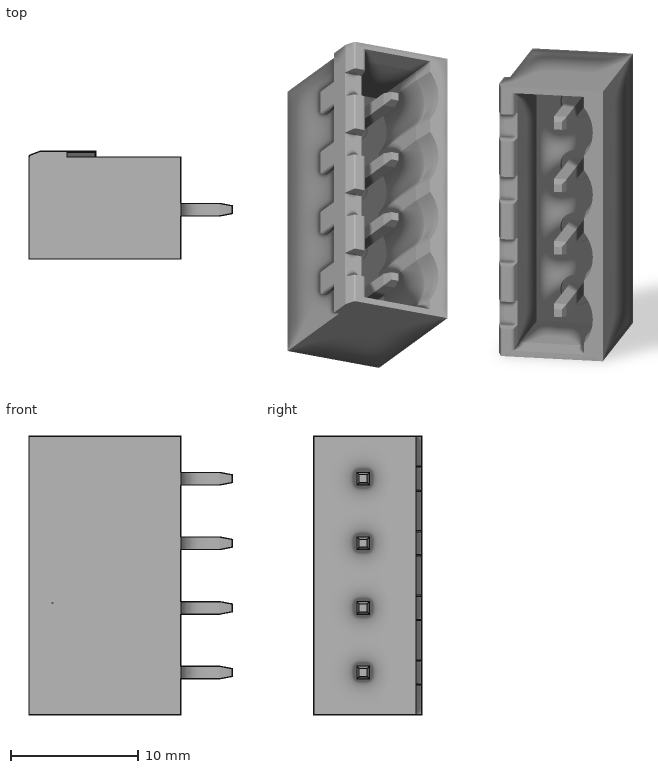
import cadquery as cq
import math

pin_count = 4
pitch = 5.08
end_margin = 3.34
housing_depth = 11.95
housing_width = 8.05
overall_width = 8.5
overall_length = 16.0
housing_height = (pin_count - 1) * pitch + 2 * end_margin

ridge_depth = 2.97
ridge_lead_depth = 0.9
ridge_lead_drop = 0.34
rim_round = 0.17
nub_end = 5.28
nub_chamfer = 0.1
notch_height = 2.0
notch_depth = 1.05
notch_draft = 0.1

pocket_depth = 8.6
flare_depth = 2.0
pocket_inset = 0.67
opening_inset = 0.48
pocket_top = 7.04
lip_corner = 7.18
lip_round = 0.3
pocket_bottom = 1.75
opening_bottom = 1.52
pocket_scallop_radius = 2.87
opening_scallop_radius = 3.09
recess_diameter = 2.5
recess_depth = 0.5

pin_y = 3.89
pin_size = 1.0
pin_tip_size = 0.62
pin_taper = 1.0
pin_start = 1.45

pin_heights = [end_margin + i * pitch for i in range(pin_count)]


def box(x0, x1, y0, y1, z0, z1):
    return cq.Workplane("XY").box(x1 - x0, y1 - y0, z1 - z0, centered=False).translate((x0, y0, z0))


def make_housing():
    body = box(0, housing_depth, 0, housing_width, 0, housing_height)
    ridge = (
        cq.Workplane("XY")
        .moveTo(0, 0)
        .lineTo(0, overall_width - ridge_lead_drop)
        .lineTo(ridge_lead_depth, overall_width)
        .lineTo(ridge_depth, overall_width)
        .lineTo(ridge_depth, 0)
        .close()
        .extrude(housing_height)
    )
    corner = cq.selectors.NearestToPointSelector((0, overall_width - ridge_lead_drop, housing_height / 2))
    return body.union(ridge.edges(corner).fillet(rim_round))


def make_nub(z):
    half = notch_height / 2
    nub = box(ridge_depth, nub_end, pocket_top, overall_width, z - half, z + half)
    return nub.edges("(|X and >Y) or (|Y and >X)").chamfer(nub_chamfer)


def pocket_outline(plane, inset, bottom, radius):
    """Pocket section: flat on the +Y side, one scallop around each pin on the -Y side."""
    half_chord = math.sqrt(radius**2 - (pin_y - bottom) ** 2)
    outline = plane.moveTo(pocket_top, inset).lineTo(bottom, inset)
    for z in pin_heights:
        outline = (
            outline.lineTo(bottom, z - half_chord)
            .threePointArc((pin_y - radius, z), (bottom, z + half_chord))
        )
    top = housing_height - inset
    return outline.lineTo(bottom, top).lineTo(pocket_top, top).close()


def make_pocket():
    straight = pocket_outline(
        cq.Workplane("YZ"), pocket_inset, pocket_bottom, pocket_scallop_radius
    ).extrude(pocket_depth)
    flare = pocket_outline(cq.Workplane("YZ"), opening_inset, opening_bottom, opening_scallop_radius)
    flare = pocket_outline(
        flare.workplane(offset=flare_depth), pocket_inset, pocket_bottom, pocket_scallop_radius
    ).loft(ruled=True)
    return straight.union(flare)


def make_lip_flare():
    """Bevel on the inner edge of the +Y rim, ending on the sloped end walls."""
    bevel = (
        cq.Workplane("XY")
        .moveTo(0, pin_y)
        .lineTo(0, lip_corner)
        .lineTo(notch_depth, pocket_top)
        .lineTo(notch_depth, pin_y)
        .close()
        .extrude(housing_height)
    )
    between_ends = (
        cq.Workplane("XZ")
        .moveTo(0, opening_inset)
        .lineTo(flare_depth, pocket_inset)
        .lineTo(flare_depth, housing_height - pocket_inset)
        .lineTo(0, housing_height - opening_inset)
        .close()
        .extrude(-overall_width)
    )
    return bevel.intersect(between_ends)


def make_notch(z):
    floor_half = notch_height / 2
    opening_half = floor_half + notch_draft
    return (
        cq.Workplane("XZ", origin=(0, pocket_top, z))
        .moveTo(0, -opening_half)
        .lineTo(notch_depth, -floor_half)
        .lineTo(notch_depth, floor_half)
        .lineTo(0, opening_half)
        .close()
        .extrude(pocket_top - overall_width)
    )


def make_pin_recess(z):
    floor = cq.Workplane("YZ", origin=(pocket_depth, pin_y, z))
    return floor.circle(recess_diameter / 2).extrude(recess_depth)


def make_pin(z):
    def tip(base_x, direction):
        base = cq.Workplane("YZ", origin=(base_x, pin_y, z)).rect(pin_size, pin_size)
        return base.workplane(offset=direction * pin_taper).rect(pin_tip_size, pin_tip_size).loft()

    shank_start = pin_start + pin_taper
    shank_end = overall_length - pin_taper
    half = pin_size / 2
    shank = box(shank_start, shank_end, pin_y - half, pin_y + half, z - half, z + half)
    return shank.union(tip(shank_start, -1)).union(tip(shank_end, 1))


result = make_housing()
for height in pin_heights:
    result = result.union(make_nub(height))
result = result.cut(make_pocket()).cut(make_lip_flare())
lip_edge = cq.selectors.NearestToPointSelector((0, lip_corner, housing_height / 2))
result = result.edges(lip_edge).fillet(lip_round)
for height in pin_heights:
    result = result.cut(make_notch(height)).cut(make_pin_recess(height)).union(make_pin(height))